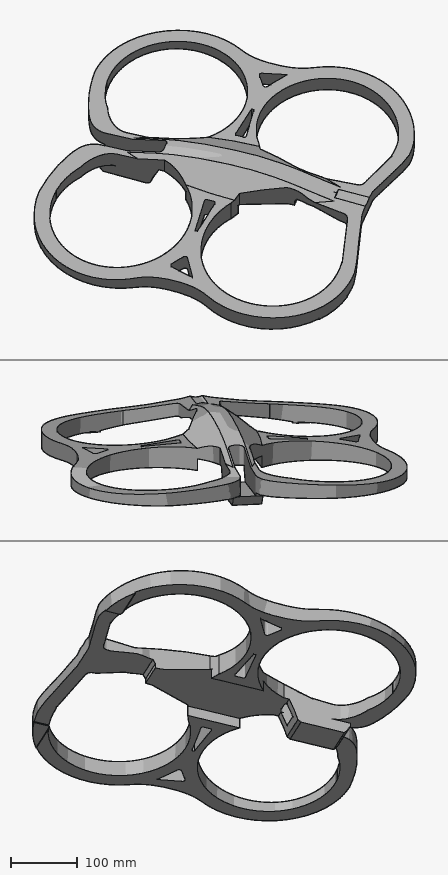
import cadquery as cq
import math

length = 501.84
width = 509.44
total_height = 88.83

ring_outer_radius = 130.5
ring_hole_radius = 107.0
ring_x = length / 2 - ring_outer_radius
ring_y = width / 2 - ring_outer_radius
nose_x = -195.0
tail_x = 228.0
saddle_x = 57.0
saddle_y = 226.0
tail_corner_radius = 10.0
outboard_window_radius = 4.0
inboard_window_radius = 3.0

tray_drop = 20.5
crown_height = total_height - tray_drop
hull_front_height = 27.0
hull_tail_x = 182.0
hull_tail_height = 47.0
ridge_half_width = 14.6
ridge_fall = 2.0
flank_slope = 0.7
flank_reach = 85.0
wall_half_width = 22.5

slot_half_width = 11.9
slot_end_x = -94.0
slot_corner_radius = 6.0
tray_end_x = -104.0
tray_floor_z = -5.0
tray_end_lean = 8.0
belly_height = 18.0
belly_half_width = 49.0
belly_end_x = 119.0
tail_notch_height = 33.0
notch_front_height = 26.0
notch_front_lean = 4.0
notch_crown_x = 151.0
notch_slope_end_x = 195.0
tail_arch_height = 22.0
tail_arch_flat_y = 30.0

groove_start_x = 179.0
groove_half_width = 10.0
groove_depth = 2.0
pad_thickness = 1.9
pad_inner_x = 223.0
pad_y_range = (147.0, 204.0)

clearance = 10.0


def mirrored(half):
    """Add the opposite half, mirrored about the XZ plane."""
    return half.union(half.mirror("XZ"))


def box_between(x_range, y_range, z_range):
    """Box from its lower and upper limits along each axis."""
    sizes = [high - low for low, high in (x_range, y_range, z_range)]
    corner = (x_range[0], y_range[0], z_range[0])
    return cq.Workplane("XY").box(*sizes, centered=False).translate(corner)


def ring_rim_point(side, angle):
    """Point on the outer rim of the front (-1) or rear (+1) ring; the angle opens away from the saddle."""
    x = ring_x + ring_outer_radius * math.cos(math.radians(angle))
    y = ring_y + ring_outer_radius * math.sin(math.radians(angle))
    return (side * x, y)


def plan_outline():
    """Outer outline of the +Y half, closed along the centreline."""
    saddle_angle = 180 - math.degrees(math.acos((ring_x - saddle_x) / ring_outer_radius))
    arc_middle_angle = saddle_angle / 2
    front_start = ring_rim_point(-1, 0)
    front_end = ring_rim_point(-1, saddle_angle)
    rear_start = ring_rim_point(1, saddle_angle)
    rear_end = ring_rim_point(1, 0)
    saddle_rise = rear_start[1] - ring_y
    saddle_run = ring_x - saddle_x
    nose_curve = [(-216.6, 21.4), (-232.5, 46.5), (-247.5, 97), front_start]
    tail_curve = [(247.5, 104), (241, 78), (232.8, 46), (tail_x, 24)]
    return (
        cq.Workplane("XY")
        .moveTo(nose_x, 0)
        .lineTo(nose_x, slot_half_width)
        .spline(nose_curve, includeCurrent=True)
        .threePointArc(ring_rim_point(-1, arc_middle_angle), front_end)
        .spline(
            [(0, saddle_y), rear_start],
            tangents=[(saddle_rise, -saddle_run), (saddle_rise, saddle_run)],
            includeCurrent=True,
        )
        .threePointArc(ring_rim_point(1, arc_middle_angle), rear_end)
        .spline(tail_curve, includeCurrent=True)
        .lineTo(tail_x, 0)
        .close()
    )


def front_hole(height):
    """Front rotor opening: a circle opened out at the nose and cut off at the hull wall."""
    circle = cq.Workplane("XY").center(-ring_x, ring_y).circle(ring_hole_radius).extrude(height)
    nose_corner = (
        cq.Workplane("XY")
        .moveTo(-ring_x - ring_hole_radius, 114)
        .lineTo(-205, 56)
        .spline([(-189, 34), (-165, wall_half_width)], tangents=[(16, -33), (1, -0.1)], includeCurrent=True)
        .lineTo(-ring_x, wall_half_width)
        .lineTo(-ring_x, ring_y)
        .close()
        .extrude(height)
    )
    above_wall = box_between((-length / 2, 0), (wall_half_width, width / 2), (0, height))
    return circle.union(nose_corner).intersect(above_wall)


def rear_hole(height):
    """Rear rotor opening: a circle trimmed by the hull shoulder and opened out at the tail."""
    shoulder_top = (33, 63)
    shoulder = (41, 46.5)
    waist = (107, 21.4)
    waist_middle = (121, 20.2)
    tail_arm_start = (141, 23.7)
    tail_corner = (208, 31)
    rim_start = (ring_x + ring_hole_radius, 112)
    centre = (ring_x, ring_y)
    circle = cq.Workplane("XY").center(*centre).circle(ring_hole_radius).extrude(height)
    tail_opening = (
        cq.Workplane("XY")
        .polyline([centre, tail_arm_start, tail_corner, rim_start])
        .close()
        .extrude(height)
        .edges(cq.selectors.NearestToPointSelector((*tail_corner, height / 2)))
        .fillet(tail_corner_radius)
    )
    shoulder_opening = (
        cq.Workplane("XY").polyline([centre, shoulder_top, shoulder, waist]).close().extrude(height)
    )
    hull_side = (
        cq.Workplane("XY")
        .moveTo(*shoulder_top)
        .lineTo(*shoulder)
        .lineTo(*waist)
        .threePointArc(waist_middle, tail_arm_start)
        .lineTo(*tail_corner)
        .lineTo(tail_corner[0], 0)
        .lineTo(shoulder_top[0], 0)
        .close()
        .extrude(height)
    )
    return circle.union(tail_opening).union(shoulder_opening).cut(hull_side)


def web_windows(height):
    """Two tapered windows in the web between the front and rear rings."""
    outboard = [(-17, 201), (25, 212), (2, 174)]
    inboard = [(-1.5, 127), (2.3, 127), (10.5, 67), (-7, 67)]
    outboard_cut = cq.Workplane("XY").polyline(outboard).close().extrude(height)
    outboard_cut = outboard_cut.edges("|Z and (<Y or <X)").fillet(outboard_window_radius)
    inboard_cut = cq.Workplane("XY").polyline(inboard).close().extrude(height)
    inboard_cut = inboard_cut.edges("|Z and <Y").fillet(inboard_window_radius)
    return outboard_cut.union(inboard_cut)


def plan_prism():
    """Full plan shape with rotor openings and windows, taller than the part."""
    height = crown_height + clearance
    half = plan_outline().extrude(height)
    half = half.cut(front_hole(height)).cut(rear_hole(height)).cut(web_windows(height))
    return mirrored(half)


def plate():
    """Ring plate whose top falls from the centreline to the sides and rises toward the tail."""
    middle_y = 120.0
    side_y = width / 2
    stations = [
        (-length / 2, 26, 20.5, 14),
        (-150, 30, 24, 16),
        (20, 42, 31.5, 24.5),
        (length / 2, 49, 27, 25.5),
    ]
    section = cq.Workplane("YZ", origin=(stations[0][0], 0, 0))
    previous_x = stations[0][0]
    for x, centre_z, middle_z, side_z in stations:
        section = (
            section.workplane(offset=x - previous_x)
            .moveTo(0, 0)
            .lineTo(0, centre_z)
            .spline([(middle_y, middle_z), (side_y, side_z)], includeCurrent=True)
            .lineTo(side_y, 0)
            .close()
        )
        previous_x = x
    return mirrored(section.loft(ruled=False))


def hull():
    """Humped hull: one side profile swept down a gentle ridge and then down steep flanks."""
    crest = [
        (-154, 30), (-127, 39), (-88, 51.5), (-49, 60), (5.5, 66.5), (46, crown_height),
        (78, 66.5), (110, 62), (147, 54), (hull_tail_x, hull_tail_height),
    ]
    profile = (
        cq.Workplane("XZ")
        .moveTo(nose_x, 0)
        .lineTo(nose_x, hull_front_height)
        .spline(crest, includeCurrent=True)
        .lineTo(hull_tail_x, 0)
        .close()
    )
    side_face = cq.Face.makeFromWires(profile.val())
    ridge = cq.Solid.extrudeLinear(side_face, cq.Vector(0, ridge_half_width, -ridge_fall))
    flank_face = side_face.translate(cq.Vector(0, ridge_half_width, -ridge_fall))
    flank = cq.Solid.extrudeLinear(flank_face, cq.Vector(0, flank_reach, -flank_slope * flank_reach))
    return mirrored(cq.Workplane(ridge).union(cq.Workplane(flank)))


def tray():
    """Battery tray hanging below the nose."""
    tray_profile = [
        (nose_x, 0), (nose_x, tray_floor_z), (-191.5, -12.5), (-185, -tray_drop),
        (-115, -tray_drop), (-110, -17), (tray_end_x, 0),
    ]
    return (
        cq.Workplane("XZ").polyline(tray_profile).close()
        .extrude(wall_half_width, both=True)
    )


def slot_cut():
    """Open battery slot between the hull walls, with a rounded inner end."""
    slot = box_between(
        (nose_x - clearance, slot_end_x),
        (-slot_half_width, slot_half_width),
        (tray_floor_z, crown_height),
    )
    return slot.edges("|Z and >X").fillet(slot_corner_radius)


def tail_arch():
    """Raised underside of the tail, sloping down to the rear pads on both sides."""
    pad_start_y = pad_y_range[0]
    return (
        cq.Workplane("YZ", origin=(notch_slope_end_x, 0, 0))
        .polyline([
            (-pad_start_y, 0), (-tail_arch_flat_y, tail_arch_height),
            (tail_arch_flat_y, tail_arch_height), (pad_start_y, 0),
        ])
        .close()
        .extrude(length / 2 - notch_slope_end_x)
    )


def belly_cut():
    """Hollow under the hull, from the sloping tray end to the tail."""
    belly = (
        cq.Workplane("XZ")
        .polyline([
            (tray_end_x, 0), (tray_end_x + tray_end_lean, belly_height),
            (belly_end_x, belly_height), (belly_end_x, 0),
        ])
        .close()
        .extrude(belly_half_width, both=True)
    )
    tail_notch = (
        cq.Workplane("XZ")
        .polyline([
            (belly_end_x, 0), (belly_end_x, notch_front_height),
            (belly_end_x + notch_front_lean, tail_notch_height), (notch_crown_x, tail_notch_height),
            (notch_slope_end_x, tail_arch_height), (notch_slope_end_x, 0),
        ])
        .close()
        .extrude(belly_half_width, both=True)
    )
    passage = box_between(
        (slot_end_x - clearance, tail_x), (-slot_half_width, slot_half_width), (0, belly_height)
    )
    return belly.union(tail_notch).union(passage).union(tail_arch())


def tail_groove():
    """Shallow round-bottomed groove along the tail."""
    radius = (groove_half_width ** 2 + groove_depth ** 2) / (2 * groove_depth)
    axis_z = hull_tail_height - groove_depth + radius
    return (
        cq.Workplane("YZ", origin=(groove_start_x, 0, 0))
        .center(0, axis_z).circle(radius).extrude(tail_x - groove_start_x)
    )


def rear_pads(plan):
    """Thin pads under the rear rims."""
    blank = box_between((pad_inner_x, length / 2), pad_y_range, (0, pad_thickness))
    return mirrored(blank).intersect(plan).translate((0, 0, -pad_thickness))


plan = plan_prism()
result = plate().union(hull()).intersect(plan)
result = result.cut(belly_cut()).union(tray())
result = result.cut(slot_cut()).cut(tail_groove()).union(rear_pads(plan))